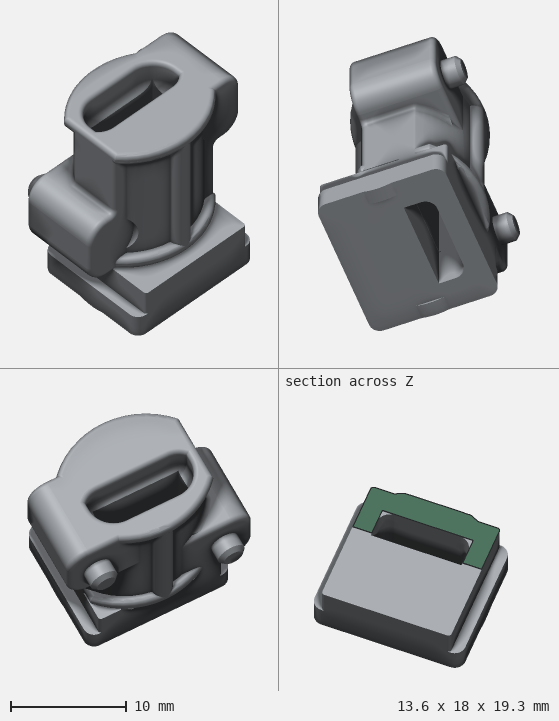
import cadquery as cq
import math

half_width = 6.0
overlap = 0.5

base_left = -4.8
base_right = 7.05
plate_height = 2.32
plate_half_width = 7.0
plate_corner_radius = 1.0
block_height = 4.88
block_corner_radius = 0.3
foot_height = 0.2
foot_length = 2.6
foot_width = 1.35
foot_x = 1.25

flange_reach = 5.9
flange_arc_radius = 8.0
flange_thickness = 1.2
flange_rounding = 0.5
recess = 0.87
body_shift = -0.08
body_bottom = 5.0
body_top = 19.1
body_corner_radius = 0.3
bar_radius = 1.0
neck_right = -0.31
skirt_reach = 5.8
skirt_radius = 0.4

lug_right = 3.2
lug_reach = 9.0
lug_height = 6.85
lug_inner = 1.0
lug_corner_radius = 2.0
lug_rounding = 0.5
lug_root_radius = 0.45
rounding_start = 2.0
pin_radius = 1.3
pin_tip = -6.5
pin_chamfer = 0.4
pin_y = 6.23
pin_height = 3.6
clearance_radius = 2.4

pocket_left = -3.32
pocket_right = 0.34
pocket_half_length = 4.95
pocket_left_radius = 2.4
pocket_right_radius = 2.0
pocket_break = -0.26
pocket_floor = 16.0
pocket_floor_rounding = 1.0
pocket_rim_rounding = 0.45
passage_left = -2.8
passage_right = -0.13
passage_half_length = 4.2
passage_corner_radius = 1.1

body_reach = flange_reach - recess
body_arc_radius = flange_arc_radius - recess
upper_flange_bottom = body_top - flange_thickness
core_top = body_top - flange_rounding
lower_lug_top = body_bottom + lug_height
upper_lug_bottom = body_top - lug_height
lower_pin_z = body_bottom + pin_height
upper_pin_z = body_top - pin_height
lug_pins = ((-1, lower_pin_z), (1, upper_pin_z))
tolerance = 1e-3


def box(x0, x1, y0, y1, z0, z1):
    """Axis-aligned box between two opposite corners."""
    return cq.Workplane("XY").box(x1 - x0, y1 - y0, z1 - z0, centered=False).translate((x0, y0, z0))


def lens(reach, arc_radius, z0, z1):
    """Two bulging sides cut straight at the body's half width."""
    corner_x = reach - arc_radius + math.sqrt(arc_radius**2 - half_width**2)
    return (
        cq.Workplane("XY", origin=(0, 0, z0))
        .moveTo(-corner_x, -half_width)
        .lineTo(corner_x, -half_width)
        .threePointArc((reach, 0), (corner_x, half_width))
        .lineTo(-corner_x, half_width)
        .threePointArc((-reach, 0), (-corner_x, -half_width))
        .close()
        .extrude(z1 - z0)
    )


def flange(z0):
    slab = lens(flange_reach, flange_arc_radius, z0, z0 + flange_thickness)
    return slab.faces("<Z or >Z").edges().fillet(flange_rounding)


def lug_block(side, z0):
    """Plain lug with two rounded outer corners; side is -1 for -Y and +1 for +Y."""
    near, far = sorted((side * lug_inner, side * lug_reach))
    block = box(base_left, lug_right, near, far, z0, z0 + lug_height)
    outer = ">Y" if side > 0 else "<Y"
    return block.faces(outer).edges("|X").fillet(lug_corner_radius)


def left_edge_waste(side, z0):
    """Material to remove so that the lug's left-hand outline becomes rounded and its root fades out."""
    near, far = sorted((side * rounding_start, side * lug_reach))
    strip = box(
        base_left,
        base_left + lug_rounding,
        near,
        far,
        z0 - lug_root_radius,
        z0 + lug_height + lug_root_radius,
    )
    return strip.cut(lug_block(side, z0).faces("<X").edges().fillet(lug_rounding))


def pin(side, z):
    start = base_left + overlap
    return (
        cq.Workplane("YZ", origin=(start, side * pin_y, z))
        .circle(pin_radius)
        .extrude(pin_tip - start)
        .faces("<X")
        .chamfer(pin_chamfer)
    )


def edges_where(solid, test):
    """Edges of the solid whose bounding box passes the test."""
    return [edge for edge in solid.edges().vals() if test(edge.BoundingBox())]


def is_flat(low, high, level):
    """True when a bounding-box range lies in the plane at the given level."""
    return abs(low - level) < tolerance and abs(high - level) < tolerance


def lens_body():
    """Recessed body between the flanges."""
    body = lens(body_reach, body_arc_radius, body_bottom, core_top).translate((body_shift, 0, 0))
    return body.edges("|Z").edges("<X").fillet(body_corner_radius)


def core():
    """Recessed body with straight shoulders on its right-hand side."""
    return lens_body().union(box(0, lug_right, -half_width, half_width, body_bottom, core_top))


def body_with_lugs():
    solid = core()
    solid = solid.union(lug_block(-1, body_bottom)).union(lug_block(1, upper_lug_bottom))

    def is_root(bounds):
        at_root = any(is_flat(bounds.zmin, bounds.zmax, z) for z in (lower_lug_top, upper_lug_bottom))
        on_body = max(abs(bounds.ymin), abs(bounds.ymax)) < half_width + tolerance
        return at_root and on_body and bounds.xmax - bounds.xmin > tolerance

    solid = solid.newObject(edges_where(solid, is_root)).fillet(lug_root_radius)

    def is_right_outline(bounds):
        inside_corner = max(abs(bounds.ymin), abs(bounds.ymax)) < half_width - tolerance
        in_flange = is_flat(bounds.zmin, bounds.zmax, core_top)
        return is_flat(bounds.xmin, bounds.xmax, lug_right) and not inside_corner and not in_flange

    solid = solid.newObject(edges_where(solid, is_right_outline)).fillet(lug_rounding)
    for side, z0 in ((-1, body_bottom), (1, upper_lug_bottom)):
        solid = solid.cut(left_edge_waste(side, z0))
    return solid.union(lens_body())


def base():
    plate = box(base_left, base_right, -plate_half_width, plate_half_width, 0, plate_height)
    plate = plate.edges("|Z").fillet(plate_corner_radius)
    block = box(base_left, base_right, -half_width, half_width, 0, block_height)
    block = block.edges("|Z").fillet(block_corner_radius)
    return plate.union(block)


def neck():
    """Bridge between base and body, left of the gap, level with the base's left face."""
    bridge = box(base_left, neck_right, -half_width, half_width, plate_height, body_bottom)
    bridge = bridge.edges("|Z and <X").fillet(block_corner_radius)
    lug_fill = box(base_left, neck_right, -half_width, 0, plate_height, body_bottom + lug_rounding)
    return bridge.union(lug_fill.edges("|Z and <X").fillet(block_corner_radius))


def foot(side):
    """Shallow arc-shaped rib under the plate at its +Y or -Y edge."""
    rib = (
        cq.Workplane("XZ", origin=(foot_x, side * plate_half_width, 0))
        .moveTo(-foot_length / 2, 0)
        .threePointArc((0, -foot_height), (foot_length / 2, 0))
        .lineTo(foot_length / 2, overlap)
        .lineTo(-foot_length / 2, overlap)
        .close()
        .extrude(side * foot_width)
    )
    return rib


def skirt():
    """Hollow rounding between the lower flange's underside and the base's left face."""
    rounding = (
        cq.Workplane("XZ", origin=(base_left, half_width, body_bottom))
        .moveTo(0, overlap)
        .lineTo(0, -skirt_radius)
        .radiusArc((-skirt_radius, 0), -skirt_radius)
        .close()
        .extrude(2 * half_width)
    )
    limit = lens(skirt_reach, flange_arc_radius, body_bottom - skirt_radius, body_bottom + overlap)
    return rounding.intersect(limit.faces("<Z").edges().chamfer(skirt_radius))


def side_bar(side):
    length = body_top - body_bottom - 2 * flange_rounding
    centre_x = side * (flange_reach - bar_radius)
    return (
        cq.Workplane("XY", origin=(centre_x, 0, body_bottom + flange_rounding))
        .circle(bar_radius)
        .extrude(length)
    )


def clearance(side, z):
    """Round cut in the body beside the lug's right face, centred on the pin axis."""
    return (
        cq.Workplane("YZ", origin=(lug_right, side * pin_y, z))
        .circle(clearance_radius)
        .extrude(flange_reach - lug_right)
    )


def pocket():
    right_centre = pocket_right - pocket_right_radius
    arc_rise = math.sqrt(pocket_right_radius**2 - (pocket_break - right_centre) ** 2)
    right_y = pocket_half_length - arc_rise
    left_x = pocket_left + pocket_left_radius
    left_y = pocket_half_length - pocket_left_radius
    outline = (
        cq.Workplane("XY", origin=(0, 0, pocket_floor))
        .moveTo(pocket_left, -left_y)
        .radiusArc((left_x, -pocket_half_length), -pocket_left_radius)
        .lineTo(pocket_break, -pocket_half_length)
        .radiusArc((pocket_right, -right_y), -pocket_right_radius)
        .lineTo(pocket_right, right_y)
        .radiusArc((pocket_break, pocket_half_length), -pocket_right_radius)
        .lineTo(left_x, pocket_half_length)
        .radiusArc((pocket_left, left_y), -pocket_left_radius)
        .close()
    )
    return outline.extrude(body_top - pocket_floor).faces("<Z").edges().fillet(pocket_floor_rounding)


def passage():
    through_body = box(
        passage_left,
        passage_right,
        -passage_half_length,
        passage_half_length,
        block_height,
        pocket_floor + pocket_floor_rounding,
    )
    through_base = box(
        passage_left, passage_right, -passage_half_length, passage_half_length, -overlap, body_bottom
    )
    return through_body.union(through_base.edges("|Z and <X").fillet(passage_corner_radius))


def housing():
    """Body, lugs, flanges and bars joined to the base, still without the opening."""
    solid = body_with_lugs()
    solid = solid.union(flange(body_bottom)).union(flange(upper_flange_bottom))
    for side in (-1, 1):
        solid = solid.union(side_bar(side))
    for side, z in lug_pins:
        solid = solid.cut(clearance(side, z))
    solid = solid.union(neck()).union(skirt()).union(base())
    for side, z in lug_pins:
        solid = solid.union(pin(side, z)).union(foot(side))
    return solid


def cut_opening(solid):
    solid = solid.cut(pocket())

    def is_rim(bounds):
        in_length = max(abs(bounds.ymin), abs(bounds.ymax)) < pocket_half_length + tolerance
        in_width = bounds.xmin > pocket_left - tolerance and bounds.xmax < pocket_right + tolerance
        return is_flat(bounds.zmin, bounds.zmax, body_top) and in_length and in_width

    solid = solid.newObject(edges_where(solid, is_rim)).fillet(pocket_rim_rounding)
    return solid.cut(passage())


result = cut_opening(housing())